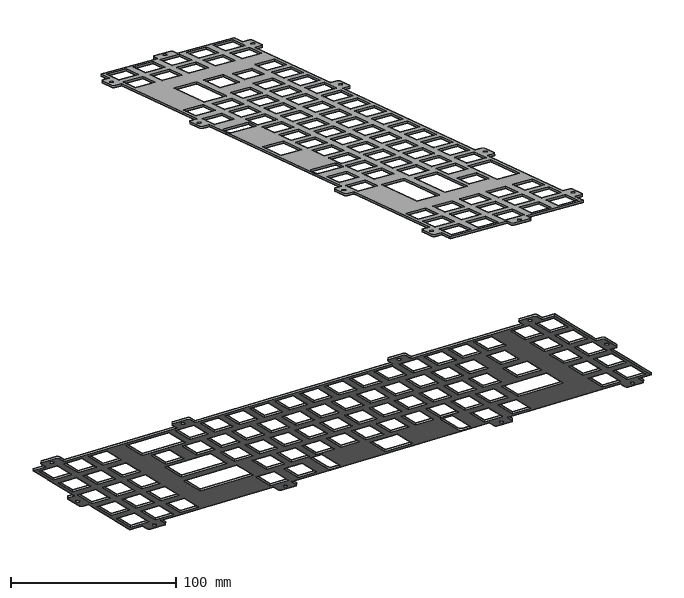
import cadquery as cq

overall_length = 412.0
plate_length = 400.0
columns = 21
rows = 5
key_unit = plate_length / columns
plate_width = rows * key_unit
thickness = 1.5
tilt_angle = 4.7

key_opening = 14.0
outer_columns = [0.5, 1.5, 18.5, 19.5, 20.5]
inner_columns = [
    [3 + i for i in range(13)],
    [3.25] + [4.5 + i for i in range(12)] + [16.75],
    [4.75 + i for i in range(11)],
    [5.25 + i for i in range(10)],
    [5.125, 6.25, 13.75, 14.875],
]

stabilizer_relief = 2.0
long_openings = [
    (0, 16.0, 17.0, 0, stabilizer_relief),
    (2, 3.125, 3.375, 0, 0),
    (2, 15.8, 16.9, stabilizer_relief, 0),
    (3, 3.125, 4.2, 0, stabilizer_relief),
    (3, 15.6, 17.0, 0, stabilizer_relief),
]

space_column = 10
space_bar_offset = 1.2
space_opening_length = 21.0
space_opening_extra = 1.0
slot_spacing = 100.0
slot_width = 9.0
slot_top = 19.8
slot_bottom = 1.0
slot_corner_radius = 2.0

tab_width = 14.0
tab_reach = (overall_length - plate_length) / 2
tab_corner_radius = 3.1 / 2
tab_hole_diameter = 2.5
tab_hole_offset = 3.0
outer_tab_x = 183.5
inner_tab_x = 83.0


def column_x(column):
    return column * key_unit - plate_length / 2


def row_y(row):
    return plate_width / 2 - (row + 0.5) * key_unit


def opening(left, right, bottom, top):
    """Rectangular cutter through the plate."""
    return (
        cq.Workplane("XY")
        .center((left + right) / 2, (bottom + top) / 2)
        .rect(right - left, top - bottom)
        .extrude(thickness)
    )


def key_openings():
    centres = [
        (column_x(column), row_y(row))
        for row in range(rows)
        for column in outer_columns + inner_columns[row]
    ]
    return cq.Workplane("XY").pushPoints(centres).rect(key_opening, key_opening).extrude(thickness)


def long_opening(row, first, last, extra_above, extra_below):
    half = key_opening / 2
    return opening(
        column_x(first) - half,
        column_x(last) + half,
        row_y(row) - half - extra_below,
        row_y(row) + half + extra_above,
    )


def space_bar_opening(x):
    y = row_y(rows - 1)
    half = key_opening / 2
    return opening(
        x - space_opening_length / 2,
        x + space_opening_length / 2,
        y - half,
        y + half + space_opening_extra,
    )


def stabilizer_slot(x):
    """Slot with its two lower corners rounded."""
    rim = -plate_width / 2
    slot = opening(x - slot_width / 2, x + slot_width / 2, rim + slot_bottom, rim + slot_top)
    return slot.faces("<Y").edges("|Z").fillet(slot_corner_radius)


def tab(x, y, angle):
    """Drilled tab that points outward from the rim point (x, y)."""
    body = (
        cq.Workplane("XY")
        .rect(tab_width, 2 * tab_reach)
        .extrude(thickness)
        .faces(">Y")
        .edges("|Z")
        .fillet(tab_corner_radius)
    )
    inner_half = cq.Workplane("XY").center(0, -tab_reach).rect(tab_width, 2 * tab_reach).extrude(thickness)
    hole = cq.Workplane("XY").center(0, tab_hole_offset).circle(tab_hole_diameter / 2).extrude(thickness)
    body = body.cut(inner_half).cut(hole)
    return body.rotate((0, 0, 0), (0, 0, 1), angle).translate((x, y, 0))


plate = cq.Workplane("XY").rect(plate_length, plate_width).extrude(thickness)

for x in (-outer_tab_x, -inner_tab_x, inner_tab_x, outer_tab_x):
    plate = plate.union(tab(x, plate_width / 2, 0))
    plate = plate.union(tab(x, -plate_width / 2, 180))
plate = plate.union(tab(-plate_length / 2, 0, 90))
plate = plate.union(tab(plate_length / 2, 0, -90))

plate = plate.cut(key_openings())
for row, first, last, extra_above, extra_below in long_openings:
    plate = plate.cut(long_opening(row, first, last, extra_above, extra_below))
space_bar_x = column_x(space_column) + space_bar_offset
plate = plate.cut(space_bar_opening(space_bar_x))
for side in (-1, 1):
    plate = plate.cut(stabilizer_slot(space_bar_x + side * slot_spacing / 2))

result = plate.rotate((0, 0, 0), (1, 0, 0), tilt_angle)